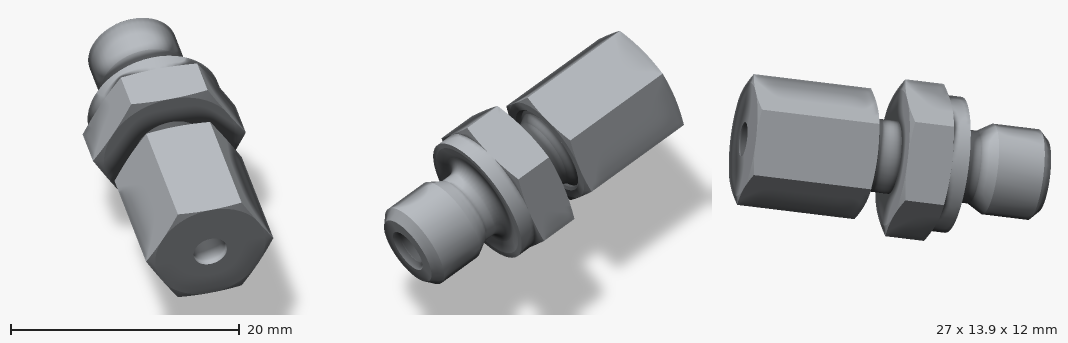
import cadquery as cq
import math


LENGTH = 27.0

SPIGOT_THREAD_END = 4.91
COLLAR_START = 8.0
BODY_HEX_START = 9.5
BODY_HEX_END = 13.5
STUB_NECK_END = 15.5
NUT_START = 15.98
STUB_END = 21.5

THREAD_RADIUS = 4.0
NECK_RADIUS = 3.2
BORE_RADIUS = 1.5
THREAD_CHAMFER = 0.78
BORE_CHAMFER = 0.49
RUNOUT_ANGLE = 30.0
STUB_SHOULDER_RADIUS = 3.65
STUB_SHOULDER_ANGLE = 60.0

NECK_FILLET = 1.0
DISH_ANGLE = 10.0
SEALING_EDGE_RADIUS = 5.5

BODY_HEX_FLATS = 12.0
NUT_HEX_FLATS = 10.0
NUT_MOUTH_CHAMFER = 0.22
COLLAR_RADIUS = BODY_HEX_FLATS / 2
CORNER_CHAMFER_ANGLE = 15.0


def taper_length(inner_radius, outer_radius, angle):
    """Axial length of a cone whose side makes the given angle with the axis."""
    return (outer_radius - inner_radius) / math.tan(math.radians(angle))


def revolve_about_x(outline):
    """Turn a closed (x, radius) outline about the X axis."""
    return outline.revolve(360, (0, 0, 0), (1, 0, 0))


def corner_chamfer_depth(flats):
    """Axial depth of the conical chamfer at the corners of a hexagon."""
    corner_height = flats / math.sqrt(3) - flats / 2
    return corner_height * math.tan(math.radians(CORNER_CHAMFER_ANGLE))


def hexagon(start, end, flats):
    """Hexagonal prism along X whose corners are turned down at its ends."""
    corner_radius = flats / math.sqrt(3)
    prism = (
        cq.Workplane("YZ", origin=(start, 0, 0))
        .polygon(6, 2 * corner_radius)
        .extrude(end - start)
    )
    depth = corner_chamfer_depth(flats)
    envelope = revolve_about_x(
        cq.Workplane("XY")
        .moveTo(start, 0)
        .lineTo(start, flats / 2)
        .lineTo(start + depth, corner_radius)
        .lineTo(end - depth, corner_radius)
        .lineTo(end, flats / 2)
        .lineTo(end, 0)
        .close()
    )
    return prism.intersect(envelope)


def bore(start, end):
    """Through bore shared by the body and the nut."""
    return cq.Workplane("YZ", origin=(start, 0, 0)).circle(BORE_RADIUS).extrude(end - start)


def spigot_and_collar():
    """Threaded spigot, undercut neck and dished collar, with the neck fillet tangent to the dish."""
    runout_length = taper_length(NECK_RADIUS, THREAD_RADIUS, RUNOUT_ANGLE)
    dish_angle = math.radians(DISH_ANGLE)
    center_radius = NECK_RADIUS + NECK_FILLET
    end_radius = center_radius + NECK_FILLET * math.sin(dish_angle)
    end_x = COLLAR_START + (SEALING_EDGE_RADIUS - end_radius) * math.tan(dish_angle)
    center_x = end_x - NECK_FILLET * math.cos(dish_angle)
    mid_offset = NECK_FILLET * math.sqrt(0.5)
    return revolve_about_x(
        cq.Workplane("XY")
        .lineTo(0, THREAD_RADIUS - THREAD_CHAMFER)
        .lineTo(THREAD_CHAMFER, THREAD_RADIUS)
        .lineTo(SPIGOT_THREAD_END, THREAD_RADIUS)
        .lineTo(SPIGOT_THREAD_END + runout_length, NECK_RADIUS)
        .lineTo(center_x, NECK_RADIUS)
        .threePointArc(
            (center_x + mid_offset, center_radius - mid_offset),
            (end_x, end_radius),
        )
        .lineTo(COLLAR_START, SEALING_EDGE_RADIUS)
        .lineTo(COLLAR_START, COLLAR_RADIUS)
        .lineTo(BODY_HEX_START, COLLAR_RADIUS)
        .lineTo(BODY_HEX_START, 0)
        .close()
    )


def nut_stub():
    """Neck and thread that carry the nut, joined by a shallow and a steep cone."""
    shoulder_x = STUB_NECK_END + taper_length(NECK_RADIUS, STUB_SHOULDER_RADIUS, RUNOUT_ANGLE)
    thread_x = shoulder_x + taper_length(STUB_SHOULDER_RADIUS, THREAD_RADIUS, STUB_SHOULDER_ANGLE)
    return revolve_about_x(
        cq.Workplane("XY")
        .moveTo(BODY_HEX_END, 0)
        .lineTo(BODY_HEX_END, NECK_RADIUS)
        .lineTo(STUB_NECK_END, NECK_RADIUS)
        .lineTo(shoulder_x, STUB_SHOULDER_RADIUS)
        .lineTo(thread_x, THREAD_RADIUS)
        .lineTo(STUB_END, THREAD_RADIUS)
        .lineTo(STUB_END, 0)
        .close()
    )


def bore_mouth():
    """Conical lead-in at the spigot end of the bore."""
    return revolve_about_x(
        cq.Workplane("XY")
        .lineTo(0, BORE_RADIUS + BORE_CHAMFER)
        .lineTo(BORE_CHAMFER, BORE_RADIUS)
        .lineTo(BORE_CHAMFER, 0)
        .close()
    )


def fitting_body():
    """Spigot, collar, hexagon and nut stub with the bore through them."""
    return (
        spigot_and_collar()
        .union(hexagon(BODY_HEX_START, BODY_HEX_END, BODY_HEX_FLATS))
        .union(nut_stub())
        .cut(bore(0, STUB_END))
        .cut(bore_mouth())
    )


def nut_recess():
    """Recess that fits the stub thread, countersunk at its mouth."""
    return revolve_about_x(
        cq.Workplane("XY")
        .moveTo(NUT_START, 0)
        .lineTo(NUT_START, THREAD_RADIUS + NUT_MOUTH_CHAMFER)
        .lineTo(NUT_START + NUT_MOUTH_CHAMFER, THREAD_RADIUS)
        .lineTo(STUB_END, THREAD_RADIUS)
        .lineTo(STUB_END, 0)
        .close()
    )


def union_nut():
    """Hexagonal nut with a recess for the stub and the bore beyond it."""
    return (
        hexagon(NUT_START, LENGTH, NUT_HEX_FLATS)
        .cut(nut_recess())
        .cut(bore(STUB_END, LENGTH))
    )


body = fitting_body()
nut = union_nut()

result = cq.Compound.makeCompound([body.val(), nut.val()])